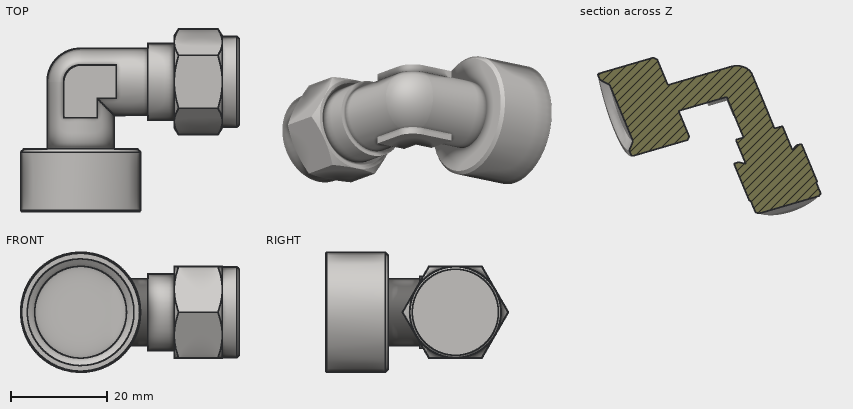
import cadquery as cq
import math

body_radius = 7.0

overall_length = 45.5
socket_diameter = 25.0
socket_radius = socket_diameter / 2
socket_start = 13.95
socket_end = 27.0
socket_back_chamfer = 0.65
socket_rim_chamfer = 0.25
mouth_radius = 11.1
floor_radius = 9.55
recess_depth = 1.5

collar_radius = 8.0
collar_start = 14.0
nut_start = 19.47
nut_end = 29.5
nut_across_flats = 19.05
nut_corner_radius = nut_across_flats / math.sqrt(3)
nut_face_radius = nut_across_flats / 2
nut_chamfer_length = 0.9
countersink_radius = 8.83
countersink_depth = countersink_radius - collar_radius
sleeve_radius = 9.45
sleeve_end = overall_length - socket_radius
sleeve_chamfer = 0.5

pad_outer_offset = 3.55
pad_inner_offset = 3.4
pad_reach = 7.45
pad_top = 7.5
pad_bottom = 6.1


def along_x(radius, start, end):
    """Cylinder on the X axis."""
    return cq.Workplane("YZ").workplane(offset=start).circle(radius).extrude(end - start)


def along_minus_y(radius, start, end):
    """Cylinder on the -Y axis."""
    return cq.Workplane("XZ").workplane(offset=start).circle(radius).extrude(end - start)


def make_elbow():
    ball = cq.Workplane("XY").sphere(body_radius)
    return (
        ball.union(along_x(body_radius, 0, nut_start))
        .union(along_minus_y(body_radius, 0, socket_start))
    )


def make_socket():
    socket = along_minus_y(socket_radius, socket_start, socket_end)
    socket = socket.faces(">Y").chamfer(socket_back_chamfer)
    socket = socket.faces("<Y").chamfer(socket_rim_chamfer)
    recess = (
        cq.Workplane("XZ").workplane(offset=socket_end).circle(mouth_radius)
        .workplane(offset=-recess_depth).circle(floor_radius)
        .loft(ruled=True)
    )
    return socket.cut(recess)


def make_nut():
    """Hex nut with flats facing +/-Z, turned-down corners and a countersink around the collar."""
    hexagon = (
        cq.Workplane("YZ").workplane(offset=nut_start)
        .polygon(6, 2 * nut_corner_radius).extrude(nut_end - nut_start)
    )
    turned_envelope = (
        cq.Workplane("XY")
        .moveTo(nut_start, 0)
        .lineTo(nut_start, nut_face_radius)
        .lineTo(nut_start + nut_chamfer_length, nut_corner_radius)
        .lineTo(nut_end - nut_chamfer_length, nut_corner_radius)
        .lineTo(nut_end, nut_face_radius)
        .lineTo(nut_end, 0)
        .close()
        .revolve(360, (0, 0, 0), (1, 0, 0))
    )
    countersink = (
        cq.Workplane("YZ").workplane(offset=nut_start).circle(countersink_radius)
        .workplane(offset=countersink_depth).circle(collar_radius)
        .loft(ruled=True)
    )
    return hexagon.intersect(turned_envelope).cut(countersink)


def make_sleeve():
    return along_x(sleeve_radius, nut_end, sleeve_end).faces(">X").chamfer(sleeve_chamfer)


def make_pad():
    return (
        cq.Workplane("XY").workplane(offset=pad_bottom)
        .moveTo(-pad_outer_offset, -pad_reach)
        .lineTo(pad_inner_offset, -pad_reach)
        .lineTo(pad_inner_offset, -pad_inner_offset)
        .lineTo(pad_reach, -pad_inner_offset)
        .lineTo(pad_reach, pad_outer_offset)
        .lineTo(0, pad_outer_offset)
        .radiusArc((-pad_outer_offset, 0), -pad_outer_offset)
        .close()
        .extrude(pad_top - pad_bottom)
    )


top_pad = make_pad()
bottom_pad = top_pad.mirror("XY")

result = (
    make_elbow()
    .union(make_socket())
    .union(along_x(collar_radius, collar_start, nut_end))
    .union(make_nut())
    .union(make_sleeve())
    .union(top_pad)
    .union(bottom_pad)
)